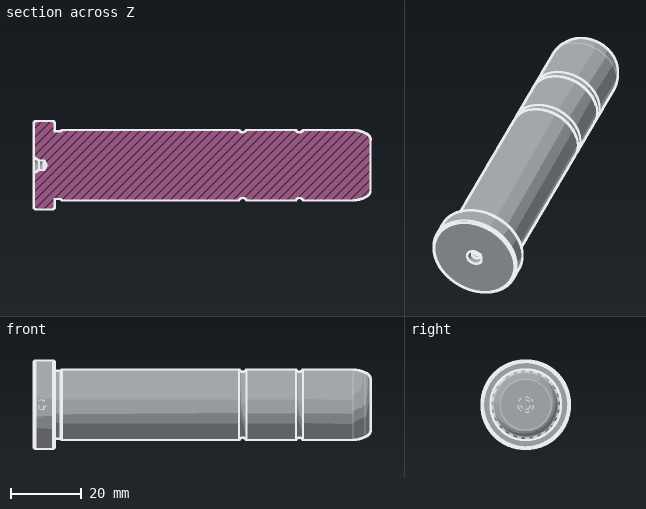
import cadquery as cq
import math

total_length = 95.0
body_radius = 10.0

head_radius = 12.49
head_length = 6.0
head_chamfer = 0.5

neck_radius = 9.6
body_start = 8.0
shoulder_chamfer = body_radius - neck_radius

groove_width = 2.0
groove_depth = 0.7
groove_centers = (58.9, 74.9)

lead_in_length = 5.0
lead_in_radius = 7.0
edge_length = 1.6
edge_height = 1.9
edge_bulge = 0.4

countersink_radius = 2.2
countersink_half_angle = 30
pilot_radius = 1.3
pilot_depth = 2.85
drill_tip_half_angle = 60


def lead_in_drop(distance):
    """Radial drop of the gentle lead-in arc at a distance from its start."""
    return lead_in_radius - math.sqrt(lead_in_radius**2 - distance**2)


def make_pin():
    lead_in_start = total_length - lead_in_length
    edge_start = total_length - edge_length
    arc_length = edge_start - lead_in_start
    edge_radius = body_radius - lead_in_drop(arc_length)
    end_face_radius = edge_radius - edge_height

    chord = math.hypot(edge_length, edge_height)
    edge_mid = (
        edge_start + edge_length / 2 + edge_bulge * edge_height / chord,
        edge_radius - edge_height / 2 + edge_bulge * edge_length / chord,
    )
    lead_in_mid = (
        lead_in_start + arc_length / 2,
        body_radius - lead_in_drop(arc_length / 2),
    )

    profile = (
        cq.Workplane("XY")
        .lineTo(0, head_radius - head_chamfer)
        .lineTo(head_chamfer, head_radius)
        .lineTo(head_length - head_chamfer, head_radius)
        .lineTo(head_length, head_radius - head_chamfer)
        .lineTo(head_length, neck_radius)
        .lineTo(body_start - shoulder_chamfer, neck_radius)
        .lineTo(body_start, body_radius)
        .lineTo(lead_in_start, body_radius)
        .threePointArc(lead_in_mid, (edge_start, edge_radius))
        .threePointArc(edge_mid, (total_length, end_face_radius))
        .lineTo(total_length, 0)
        .close()
    )
    return profile.revolve(360, (0, 0, 0), (1, 0, 0))


def make_groove(center):
    """Ring with a circular section that leaves a round-bottomed groove."""
    section_radius = ((groove_width / 2) ** 2 + groove_depth**2) / (2 * groove_depth)
    section_center = body_radius - groove_depth + section_radius
    section = cq.Workplane("XY").center(center, section_center).circle(section_radius)
    return section.revolve(360, (0, -section_center, 0), (1, -section_center, 0))


def make_center_hole():
    countersink_depth = (countersink_radius - pilot_radius) / math.tan(math.radians(countersink_half_angle))
    tip_depth = pilot_depth + pilot_radius / math.tan(math.radians(drill_tip_half_angle))
    profile = (
        cq.Workplane("XY")
        .lineTo(0, countersink_radius)
        .lineTo(countersink_depth, pilot_radius)
        .lineTo(pilot_depth, pilot_radius)
        .lineTo(tip_depth, 0)
        .close()
    )
    return profile.revolve(360, (0, 0, 0), (1, 0, 0))


result = make_pin()
for groove_center in groove_centers:
    result = result.cut(make_groove(groove_center))
result = result.cut(make_center_hole())